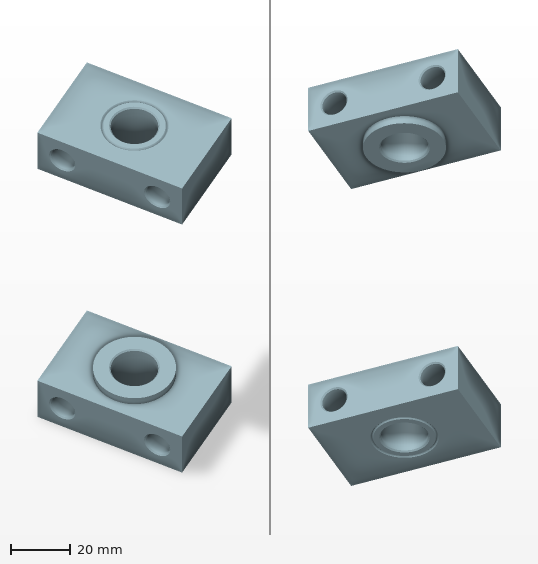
import cadquery as cq

total_height = 142.0

block_length = 55.0
block_width = 36.0
block_height = 18.0
bolt_diameter = 9.0
bolt_spacing = 36.0
bolt_chamfer = 0.5
seat_chamfer = 0.5

bushing_diameter = 22.0
bore_diameter = 16.0
flange_diameter = 28.0
flange_thickness = 3.0
bushing_chamfer = 0.5
bore_chamfer = 0.5


def make_block():
    """Block standing on Z = 0 with a bushing seat and two cross bolt holes."""
    block = cq.Workplane("XY").box(block_length, block_width, block_height, centered=(True, True, False))
    seat = cq.Workplane("XY").circle(bushing_diameter / 2).extrude(block_height)
    block = block.cut(seat)
    block = block.faces("<Z").edges("%CIRCLE").chamfer(seat_chamfer)
    bolt_holes = (
        cq.Workplane("XZ", origin=(0, 0, block_height / 2))
        .pushPoints([(-bolt_spacing / 2, 0), (bolt_spacing / 2, 0)])
        .circle(bolt_diameter / 2)
        .extrude(block_width / 2, both=True)
    )
    block = block.cut(bolt_holes)
    return block.faces("<Y or >Y").edges("%CIRCLE").chamfer(bolt_chamfer)


def make_bushing():
    """Bushing that fills the seat, with its flange resting on the block."""
    sleeve = cq.Workplane("XY").circle(bushing_diameter / 2).extrude(block_height)
    sleeve = sleeve.faces("<Z").edges().chamfer(bushing_chamfer)
    flange = (
        cq.Workplane("XY", origin=(0, 0, block_height))
        .circle(flange_diameter / 2)
        .extrude(flange_thickness)
    )
    bushing = sleeve.union(flange)
    bore = cq.Workplane("XY").circle(bore_diameter / 2).extrude(block_height + flange_thickness)
    bushing = bushing.cut(bore)
    bore_edges = cq.selectors.RadiusNthSelector(0)
    return bushing.faces("<Z or >Z").edges(bore_edges).chamfer(bore_chamfer)


def place_at_ends(body):
    """Solids for the bottom end and, mirrored about mid-height, for the top end."""
    bottom = body.translate((0, 0, -total_height / 2))
    top = bottom.mirror("XY")
    return [bottom.val(), top.val()]


blocks = place_at_ends(make_block())
bushings = place_at_ends(make_bushing())

result = cq.Compound.makeCompound([*blocks, *bushings])